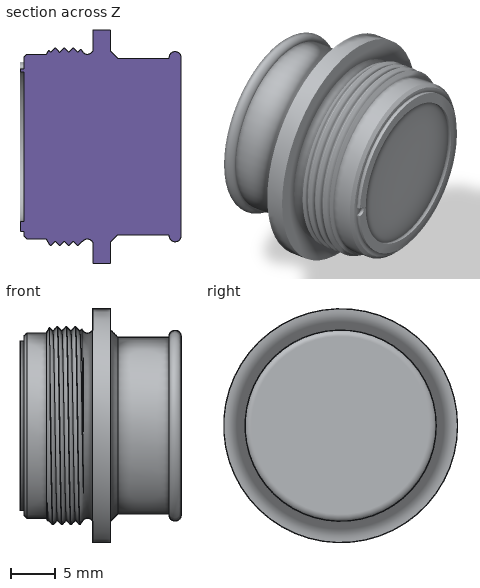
import cadquery as cq
import math

TOTAL_LENGTH = 17.9

FACE_RADIUS = 9.43
FACE_STEP = 0.4
RECESS_RADIUS = 8.3
RECESS_DEPTH = 0.4
NOTCH_WIDTH = 1.0
NOTCH_DEPTH = 0.75

NOSE_RADIUS = 10.3
NOSE_CHAMFER = 0.35

THREAD_START = 2.9
THREAD_END = 7.05
THREAD_RADIUS = 11.0
THREAD_PITCH = 1.0
THREAD_ROOT_RADIUS = 10.53
TURN_GAP = 0.04
LEAD_IN_LENGTH = 0.4
RUN_OUT_LENGTH = 0.4
RUN_OUT_RADIUS = 10.45
GROOVE_START = 2.13
GROOVE_TURNS = 5.3
CUTTER_OVERRUN = 0.4

FLANGE_START = 8.05
FLANGE_WIDTH = 2.0
FLANGE_RADIUS = 13.0
RELIEF_FLANGE_RADIUS = 10.65

BARREL_RADIUS = 9.83
BARREL_CONE = 0.8
BEAD_RADIUS = 0.69
BEAD_TOP_RADIUS = 10.6

flange_end = FLANGE_START + FLANGE_WIDTH
bead_centre_x = TOTAL_LENGTH - BEAD_RADIUS
bead_centre_radius = BEAD_TOP_RADIUS - BEAD_RADIUS
bead_rise = bead_centre_radius - BARREL_RADIUS
bead_start = bead_centre_x - math.sqrt(BEAD_RADIUS**2 - bead_rise**2)
relief_middle = (THREAD_END + FLANGE_START) / 2


def turned_body():
    """Revolve the half outline, drawn as (X, radius), about the X axis."""
    outline = (
        cq.Workplane("XY")
        .moveTo(0, 0)
        .lineTo(0, FACE_RADIUS)
        .lineTo(FACE_STEP, FACE_RADIUS)
        .lineTo(FACE_STEP, NOSE_RADIUS - NOSE_CHAMFER)
        .lineTo(FACE_STEP + NOSE_CHAMFER, NOSE_RADIUS)
        .lineTo(THREAD_START, NOSE_RADIUS)
        .lineTo(THREAD_START + LEAD_IN_LENGTH, THREAD_RADIUS)
        .lineTo(THREAD_END - RUN_OUT_LENGTH, THREAD_RADIUS)
        .lineTo(THREAD_END, RUN_OUT_RADIUS)
        .threePointArc((relief_middle, NOSE_RADIUS), (FLANGE_START, RELIEF_FLANGE_RADIUS))
        .lineTo(FLANGE_START, FLANGE_RADIUS)
        .lineTo(flange_end, FLANGE_RADIUS)
        .lineTo(flange_end, BARREL_RADIUS + BARREL_CONE)
        .lineTo(flange_end + BARREL_CONE, BARREL_RADIUS)
        .lineTo(bead_start, BARREL_RADIUS)
        .threePointArc((bead_centre_x, BEAD_TOP_RADIUS), (TOTAL_LENGTH, bead_centre_radius))
        .lineTo(TOTAL_LENGTH, 0)
        .close()
    )
    return outline.revolve(360, (0, 0, 0), (1, 0, 0))


def thread_groove():
    """V groove swept along a helix; it leaves narrow crests between its turns."""
    half_width = (THREAD_PITCH - TURN_GAP) / 2
    flank_top = THREAD_ROOT_RADIUS + half_width
    cutter_top = THREAD_RADIUS + CUTTER_OVERRUN
    helix = cq.Wire.makeHelix(THREAD_PITCH, GROOVE_TURNS * THREAD_PITCH, THREAD_RADIUS)
    groove = (
        cq.Workplane("XZ")
        .moveTo(THREAD_ROOT_RADIUS, 0)
        .lineTo(flank_top, half_width)
        .lineTo(cutter_top, half_width)
        .lineTo(cutter_top, -half_width)
        .lineTo(flank_top, -half_width)
        .close()
        .sweep(cq.Workplane(helix), isFrenet=True)
    )
    return groove.rotate((0, 0, 0), (0, 1, 0), 90).translate((GROOVE_START, 0, 0))


def face_recess():
    """Shallow round recess in the face."""
    return cq.Workplane("YZ").circle(RECESS_RADIUS).extrude(RECESS_DEPTH)


def face_notch():
    """Round-bottomed key notch in the +Y edge of the face step."""
    notch_radius = NOTCH_WIDTH / 2
    round_centre_y = FACE_RADIUS - NOTCH_DEPTH + notch_radius
    mouth = (
        cq.Workplane("YZ")
        .center(round_centre_y + NOTCH_DEPTH / 2, 0)
        .rect(NOTCH_DEPTH, NOTCH_WIDTH)
        .extrude(FACE_STEP)
    )
    bottom = cq.Workplane("YZ").center(round_centre_y, 0).circle(notch_radius).extrude(FACE_STEP)
    return mouth.union(bottom)


result = (
    turned_body()
    .cut(thread_groove())
    .cut(face_recess())
    .cut(face_notch())
)